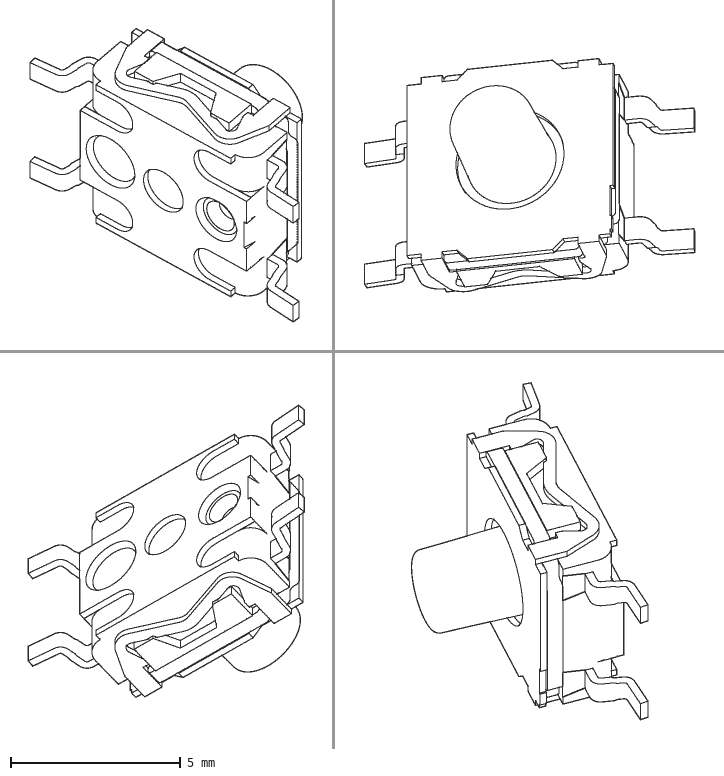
import cadquery as cq
import math


BASE_HALF_X = 3.15
BASE_HALF_Z = 2.8
BASE_TOP = 1.92
SLOT_FLOOR = 0.21
SLOT_RADIUS = 0.58
SLOT_CENTER_Z = 1.99
SLOT_END_X = 1.16
CORNER_RADIUS = 0.6
CORNER_INNER_Z = 1.42
LOCATOR_X = 2.0
LATCH_HALF_X = 1.79
LATCH_BOTTOM = 0.87
LATCH_HALF_Z = 3.15
LATCH_NOTCH_BOTTOM_HALF = 1.09
LATCH_NOTCH_TOP_HALF = 0.67
LATCH_NOTCH_TOP = 1.65
GATE_HALF_Z = 0.51
GATE_WIDTH = 0.1
GATE_DEPTH = 0.4
RELIEF_DEPTH = 0.02

FLANGE_TOP = 2.41
FLANGE_HALF_Z = 3.1
FLANGE_CORE_HALF_X = 2.8
FLANGE_HALF_X = 3.16
FLANGE_STEP_Z = 2.14
FLANGE_WING_HALF_X = 2.06
FLANGE_ROUND = 0.15
BUTTON_ROOT_RADIUS = 1.35
BUTTON_TIP_RADIUS = 1.27
BUTTON_TIP_ROUND = 0.2
BUTTON_TIP = 5.115

SHEET = 0.21
FRAME_HALF_X = 3.13
FRAME_HALF_Z = 2.82
FRAME_TOP = FLANGE_TOP + SHEET
FRAME_HOLE_DIAMETER = 3.28
TAB_HALF_X = 1.29
TAB_HALF_Z = 3.14
RECESS_DEPTH = 0.1
RECESS_TOP_Z = -1.22
RECESS_BUMP_Z = (-2.66, -2.21)
RECESS_BUMP_HEIGHT = 0.05
BAIL_OUTER_X = 2.7
BAIL_INNER_X = FLANGE_WING_HALF_X

LEAD_THICKNESS = 0.25
LEAD_Z = 2.0
LEAD_ROOT_WIDTH = 0.75
LEAD_FOOT_WIDTH = 0.67
LEAD_TAPER_Y = (0.49, 0.62)
LEAD_INNER_BEND = 0.09
LEAD_PATH = [(BASE_HALF_X, 1.1), (3.71, 1.1), (3.92, 0.13), (4.99, 0.04)]


def box(x_range, y_range, z_range):
    size = [high - low for low, high in (x_range, y_range, z_range)]
    return cq.Workplane("XY").box(*size, centered=False).translate((x_range[0], y_range[0], z_range[0]))


def prism_along_y(points, bottom, top):
    return cq.Workplane("XZ", origin=(0, bottom, 0)).polyline(points).close().extrude(bottom - top)


def prism_along_z(points, low, high):
    return cq.Workplane("XY", origin=(0, 0, low)).polyline(points).close().extrude(high - low)


def mirrored_outline(half):
    """Close the left half of an outline with its mirror image across X = 0."""
    return half + [(-x, y) for x, y in reversed(half) if x != 0]


def round_corners(prism, corners, radius):
    """Fillet the Z-parallel edges of a prism that run through the given XY corners."""
    for x, y in corners:
        prism = prism.edges("|Z").edges(cq.selectors.NearestToPointSelector((x, y, prism.val().Center().z)))
        prism = prism.fillet(radius)
    return prism


def cone_along_y(x, bottom, top, bottom_radius, top_radius):
    cone = cq.Solid.makeCone(bottom_radius, top_radius, top - bottom, cq.Vector(x, bottom, 0), cq.Vector(0, 1, 0))
    return cq.Workplane(cone)


def cylinder_along_y(x, bottom, top, diameter):
    return cq.Workplane("XZ", origin=(x, bottom, 0)).circle(diameter / 2).extrude(bottom - top)


def make_bail(z_low):
    outer_elbow = (-2.14, 0.18)
    outer_peak = (0, 0.97)
    outer = prism_along_z(
        mirrored_outline([(-BAIL_OUTER_X, FRAME_TOP), (-BAIL_OUTER_X, 1.63), outer_elbow, outer_peak]),
        z_low, z_low + SHEET)
    outer = round_corners(outer, [outer_elbow, (-outer_elbow[0], outer_elbow[1])], 0.53)
    outer = round_corners(outer, [outer_peak], 0.49)

    inner_elbow = (-2.18, 0.56)
    inner_peak = (0, 1.37)
    inner = prism_along_z(
        mirrored_outline([
            (-BAIL_INNER_X, FRAME_TOP), (-BAIL_INNER_X, 1.68), (-1.85, 1.68), (-1.85, 1.45),
            inner_elbow, inner_peak]),
        z_low, z_low + SHEET)
    inner = round_corners(inner, [inner_elbow, (-inner_elbow[0], inner_elbow[1])], 0.19)
    inner = round_corners(inner, [inner_peak], 0.86)
    return outer.cut(inner)


def make_frame():
    tab_root = TAB_HALF_X + TAB_HALF_Z - FRAME_HALF_Z
    upper = [
        (-FRAME_HALF_X, FRAME_HALF_Z), (-tab_root, FRAME_HALF_Z), (-TAB_HALF_X, TAB_HALF_Z),
        (TAB_HALF_X, TAB_HALF_Z), (tab_root, FRAME_HALF_Z), (FRAME_HALF_X, FRAME_HALF_Z)]
    plate = prism_along_y(upper + [(-x, -z) for x, z in upper], FLANGE_TOP, FRAME_TOP)
    plate = plate.cut(cylinder_along_y(0, FLANGE_TOP, FRAME_TOP, FRAME_HOLE_DIAMETER))

    recess_x = -FRAME_HALF_X + RECESS_DEPTH
    plate = plate.cut(box(
        (-FRAME_HALF_X, recess_x), (FLANGE_TOP, FRAME_TOP), (-FRAME_HALF_Z, RECESS_TOP_Z)))
    plate = plate.union(box((recess_x - RECESS_BUMP_HEIGHT, recess_x), (FLANGE_TOP, FRAME_TOP), RECESS_BUMP_Z))

    for z_low in (FRAME_HALF_Z, -FRAME_HALF_Z - SHEET):
        plate = plate.union(make_bail(z_low))
    return plate


def make_button():
    def rounded_block(half_x, half_z):
        block = box((-half_x, half_x), (BASE_TOP, FLANGE_TOP), (-half_z, half_z))
        return block.edges("|Y").fillet(FLANGE_ROUND)

    flange = rounded_block(FLANGE_CORE_HALF_X, BASE_HALF_Z)
    flange = flange.union(rounded_block(FLANGE_HALF_X, FLANGE_STEP_Z))
    mid_y = (BASE_TOP + FLANGE_TOP) / 2
    for x in (-FLANGE_CORE_HALF_X, FLANGE_CORE_HALF_X):
        for z in (-FLANGE_STEP_Z, FLANGE_STEP_Z):
            corner = cq.selectors.NearestToPointSelector((x, mid_y, z))
            flange = flange.edges("|Y").edges(corner).fillet(FLANGE_ROUND)
    flange = flange.union(rounded_block(FLANGE_WING_HALF_X, FLANGE_HALF_Z))
    shaft = cone_along_y(0, FLANGE_TOP, BUTTON_TIP, BUTTON_ROOT_RADIUS, BUTTON_TIP_RADIUS)
    return flange.union(shaft.faces(">Y").edges().fillet(BUTTON_TIP_ROUND))


def corner_slot(side_x, side_z):
    """Slot open to an end face, plus the round that leads into its floor."""
    slot = box((SLOT_END_X + SLOT_RADIUS, BASE_HALF_X), (0, SLOT_FLOOR),
               (SLOT_CENTER_Z - SLOT_RADIUS, SLOT_CENTER_Z + SLOT_RADIUS))
    slot = slot.union(
        cylinder_along_y(SLOT_END_X + SLOT_RADIUS, 0, SLOT_FLOOR, 2 * SLOT_RADIUS).translate((0, 0, SLOT_CENTER_Z)))
    tangent_x = BASE_HALF_X - CORNER_RADIUS
    tangent_y = SLOT_FLOOR + CORNER_RADIUS
    mid = CORNER_RADIUS * math.sqrt(0.5)
    corner = (
        cq.Workplane("XY", origin=(0, 0, CORNER_INNER_Z))
        .moveTo(tangent_x, 0).lineTo(tangent_x, SLOT_FLOOR)
        .threePointArc((tangent_x + mid, tangent_y - mid), (BASE_HALF_X, tangent_y))
        .lineTo(BASE_HALF_X, 0).close().extrude(BASE_HALF_Z - CORNER_INNER_Z))
    cutter = slot.union(corner)
    if side_x < 0:
        cutter = cutter.mirror("YZ")
    if side_z < 0:
        cutter = cutter.mirror("XY")
    return cutter


def lead_relief(side_x, side_z):
    """Shallow trapezoid above a terminal, widening towards the top of the base."""
    root_half = LEAD_ROOT_WIDTH / 2
    top_half = 0.51
    bottom = LEAD_PATH[0][1] + LEAD_THICKNESS / 2
    depth = side_x * RELIEF_DEPTH
    return (
        cq.Workplane("YZ", origin=(side_x * BASE_HALF_X - depth, 0, side_z * LEAD_Z))
        .polyline([(bottom, -root_half), (BASE_TOP, -top_half), (BASE_TOP, top_half), (bottom, root_half)])
        .close().extrude(depth))


def make_latches():
    half = [
        (-LATCH_HALF_X, BASE_TOP), (-LATCH_HALF_X, LATCH_BOTTOM),
        (-LATCH_NOTCH_BOTTOM_HALF, LATCH_BOTTOM), (-LATCH_NOTCH_TOP_HALF, LATCH_NOTCH_TOP)]
    latch = prism_along_z(mirrored_outline(half), BASE_HALF_Z, LATCH_HALF_Z)
    return latch.union(latch.mirror("XY"))


def make_base(frame):
    base = box((-BASE_HALF_X, BASE_HALF_X), (0, BASE_TOP), (-BASE_HALF_Z, BASE_HALF_Z))
    for side_x in (-1, 1):
        for side_z in (-1, 1):
            base = base.cut(corner_slot(side_x, side_z))
            base = base.cut(lead_relief(side_x, side_z))

    base = base.cut(cone_along_y(-LOCATOR_X, 0, 0.2, 0.92, 0.81))
    base = base.cut(cylinder_along_y(0, 0, 0.2, 1.5))
    base = base.cut(cone_along_y(LOCATOR_X, 0, 0.2, 0.77, 0.65))
    base = base.cut(cone_along_y(LOCATOR_X, 0.2, 0.6, 0.52, 0.36))

    base = base.cut(prism_along_z(
        [(BASE_HALF_X - GATE_WIDTH, 0), (BASE_HALF_X, 0), (BASE_HALF_X, GATE_DEPTH)], -GATE_HALF_Z, GATE_HALF_Z))

    return base.union(make_latches()).cut(frame)


def offset_point(before, corner, after, distance):
    """Point on the mitre of a bend, at the given distance to the left of both legs."""
    first = math.atan2(corner[1] - before[1], corner[0] - before[0])
    second = math.atan2(after[1] - corner[1], after[0] - corner[0])
    middle = (first + second) / 2 + math.pi / 2
    reach = distance / math.cos((second - first) / 2)
    return (corner[0] + reach * math.cos(middle), corner[1] + reach * math.sin(middle))


def make_lead(side_x, z):
    root, knee, ankle, tip = LEAD_PATH
    half = LEAD_THICKNESS / 2

    def side(distance):
        start = (root[0], root[1] + distance)
        foot = math.atan2(tip[1] - ankle[1], tip[0] - ankle[0]) + math.pi / 2
        end = (tip[0] + distance * math.cos(foot), tip[1] + distance * math.sin(foot))
        return [start, offset_point(root, knee, ankle, distance), offset_point(knee, ankle, tip, distance), end]

    upper = side(half)
    lower = side(-half)
    lead = prism_along_z(upper + lower[::-1], -LEAD_ROOT_WIDTH / 2, LEAD_ROOT_WIDTH / 2)
    lead = round_corners(lead, [upper[1], lower[2]], LEAD_INNER_BEND + LEAD_THICKNESS)
    lead = round_corners(lead, [lower[1], upper[2]], LEAD_INNER_BEND)

    foot_half = LEAD_FOOT_WIDTH / 2
    root_half = LEAD_ROOT_WIDTH / 2
    low, high = LEAD_TAPER_Y
    step = (root_half - foot_half) / 2
    foot_side = (
        cq.Workplane("YZ", origin=(BASE_HALF_X, 0, foot_half))
        .moveTo(lower[-1][1], 0).lineTo(low, 0)
        .tangentArcPoint(((low + high) / 2, step), relative=False)
        .tangentArcPoint((high, 2 * step), relative=False)
        .lineTo(lower[-1][1], 2 * step).close().extrude(tip[0]))
    lead = lead.cut(foot_side).cut(foot_side.mirror("XY"))
    if side_x < 0:
        lead = lead.mirror("YZ")
    return lead.translate((0, 0, z))


frame = make_frame()
button = make_button()
base = make_base(frame)
leads = [make_lead(side_x, z) for side_x in (-1, 1) for z in (-LEAD_Z, LEAD_Z)]

result = cq.Compound.makeCompound([base.val(), button.val(), frame.val(), *[lead.val() for lead in leads]])